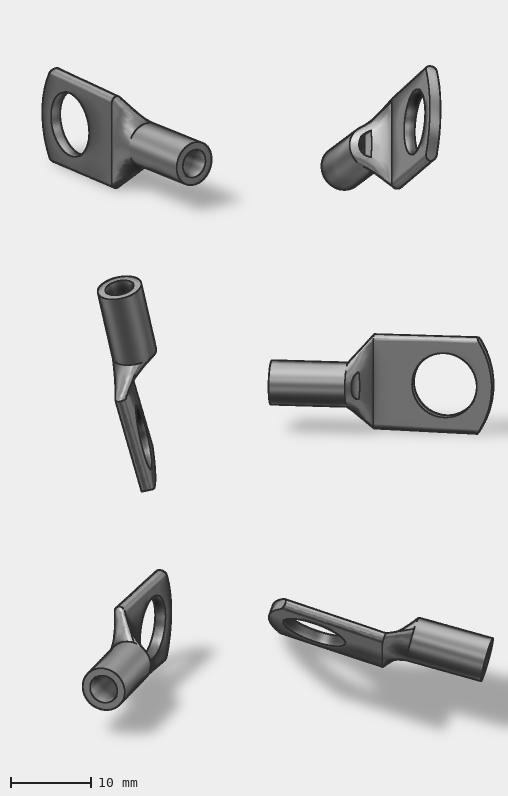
import math

import cadquery as cq


tongue_thickness = 1.42
tip_width = 12.35
root_width = 12.05
tip_x = -6.0
corner_x = -4.05
blank_overrun = 1.0
root_x = 9.0
hole_diameter = 8.2

barrel_diameter = 5.57
bore_diameter = 3.6
barrel_tilt = 2.95
overall_length = 27.63
overall_depth = 6.5

neck_end_x = 11.9
shoulder_angle = 12.0
opening_floor_front_y = 3.6
opening_floor_back_y = 4.0
opening_front_x = 10.4

tilt = math.radians(barrel_tilt)
barrel_radius = barrel_diameter / 2
barrel_end_x = tip_x + overall_length - barrel_radius * math.sin(tilt)
barrel_end_y = overall_depth - barrel_radius * math.cos(tilt)
barrel_length = (barrel_end_x - neck_end_x) / math.cos(tilt)
barrel_start_y = barrel_end_y - barrel_length * math.sin(tilt)
barrel_plane = cq.Plane(
    origin=(neck_end_x, barrel_start_y, 0),
    xDir=(0, 0, -1),
    normal=(math.cos(tilt), math.sin(tilt), 0),
)


def cross_section_plane(x):
    """Plane across the lug at x, with local x along -Z and local y along +Y."""
    return cq.Plane(origin=(x, 0, 0), xDir=(0, 0, -1), normal=(1, 0, 0))


def tongue_section(x, width):
    """Wire of the round-edged tongue section at x."""
    radius = tongue_thickness / 2
    straight = width / 2 - radius
    return (
        cq.Workplane(cross_section_plane(x))
        .moveTo(-straight, tongue_thickness)
        .lineTo(straight, tongue_thickness)
        .threePointArc((width / 2, radius), (straight, 0))
        .lineTo(-straight, 0)
        .threePointArc((-width / 2, radius), (-straight, tongue_thickness))
        .close()
        .val()
    )


def barrel_section():
    """Barrel circle at the neck, split into four arcs that match the tongue section."""
    across = barrel_radius * math.cos(math.radians(shoulder_angle))
    up = barrel_radius * math.sin(math.radians(shoulder_angle))
    return (
        cq.Workplane(barrel_plane)
        .moveTo(-across, up)
        .threePointArc((0, barrel_radius), (across, up))
        .threePointArc((barrel_radius, 0), (across, -up))
        .threePointArc((0, -barrel_radius), (-across, -up))
        .threePointArc((-barrel_radius, 0), (-across, up))
        .close()
        .val()
    )


def make_tongue():
    """Tapered, round-edged strip trimmed by the arc of the tip."""
    taper = (tip_width - root_width) / (root_x - corner_x)
    blank_x = tip_x - blank_overrun
    blank_width = tip_width + taper * (corner_x - blank_x)
    sections = [tongue_section(blank_x, blank_width), tongue_section(root_x, root_width)]
    blank = cq.Workplane(cq.Solid.makeLoft(sections, True))
    tip_sagitta = corner_x - tip_x
    tip_radius = (tip_sagitta**2 + (tip_width / 2) ** 2) / (2 * tip_sagitta)
    tip_disc = (
        cq.Workplane("XZ")
        .center(tip_x + tip_radius, 0)
        .circle(tip_radius)
        .extrude(overall_depth, both=True)
    )
    hole = cq.Workplane("XZ").circle(hole_diameter / 2).extrude(-tongue_thickness)
    return blank.intersect(tip_disc).cut(hole)


def make_neck():
    """Flare from the tongue root to the barrel circle."""
    sections = [tongue_section(root_x, root_width), barrel_section()]
    return cq.Workplane(cq.Solid.makeLoft(sections, True))


def make_barrel():
    """Round barrel rising at the tilt angle."""
    return cq.Workplane(barrel_plane).circle(barrel_radius).extrude(barrel_length)


def make_bore():
    """Wire bore along the whole barrel."""
    return cq.Workplane(barrel_plane).circle(bore_diameter / 2).extrude(barrel_length)


def make_opening():
    """Bore continued through the neck above a gently rising floor."""
    neck_length = neck_end_x - root_x
    bore_extension = cq.Workplane(barrel_plane).circle(bore_diameter / 2).extrude(-neck_length)
    above_floor = (
        cq.Workplane("XY")
        .moveTo(root_x, opening_floor_front_y)
        .lineTo(opening_front_x, opening_floor_front_y)
        .lineTo(neck_end_x, opening_floor_back_y)
        .lineTo(neck_end_x + barrel_radius, opening_floor_back_y)
        .lineTo(neck_end_x + barrel_radius, overall_depth)
        .lineTo(root_x, overall_depth)
        .close()
        .extrude(bore_diameter / 2, both=True)
    )
    return bore_extension.intersect(above_floor)


lug = make_tongue().union(make_neck()).union(make_barrel())
result = lug.cut(make_bore()).cut(make_opening())